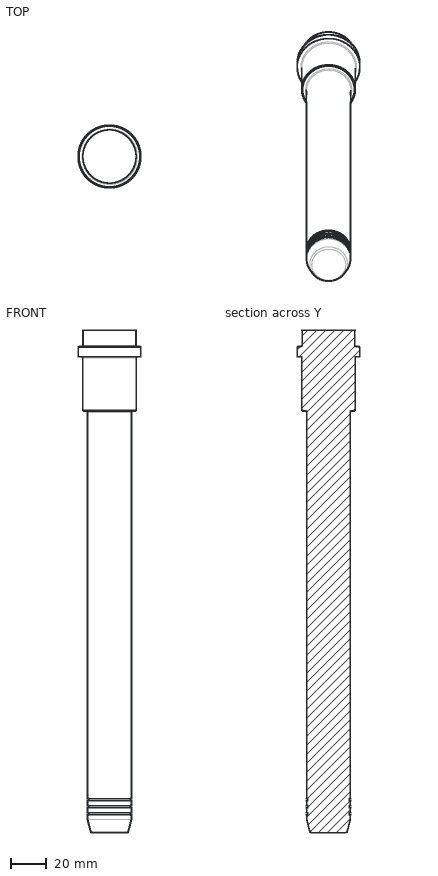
import cadquery as cq
import math

total_length = 280.0
collar_radius = 35.0 / 2
head_radius = 30.0 / 2
cap_radius = 29.7 / 2
shaft_radius = 24.5 / 2

head_length = 45.0
head_bottom = total_length - head_length
collar_top = total_length - 9.0
collar_height = 6.0
collar_bottom = collar_top - collar_height
edge_chamfer = 0.5
root_fillet = 0.5

tip_radius = 10.5
taper_length = 7.5
tip_fillet = 1.0

groove_count = 3
first_groove_height = 10.5
groove_spacing = 4.0
groove_width = 1.0
groove_depth = 0.5


def cylinder(radius, bottom, top):
    """Solid cylinder about the Z axis between two heights."""
    return cq.Workplane("XY").workplane(offset=bottom).circle(radius).extrude(top - bottom)


def make_shaft():
    """Revolved shaft with its tapered, rounded tip."""
    profile = (
        cq.Workplane("XZ")
        .moveTo(0, 0)
        .lineTo(tip_radius, 0)
        .lineTo(shaft_radius, taper_length)
        .lineTo(shaft_radius, head_bottom)
        .lineTo(0, head_bottom)
        .close()
    )
    shaft = profile.revolve(360, (0, 0, 0), (0, 1, 0))
    return shaft.faces("<Z").edges().fillet(tip_fillet)


def make_groove(center_height):
    """Ring of material removed from the shaft surface."""
    bottom = center_height - groove_width / 2
    top = center_height + groove_width / 2
    return cylinder(collar_radius, bottom, top).cut(cylinder(shaft_radius - groove_depth, bottom, top))


def make_root_fillet(radius, height, direction):
    """Concave ring easing a cylinder into a flat face; direction is +1 above the face, -1 below."""
    arc_reach = root_fillet * (1 - math.sqrt(0.5))
    profile = (
        cq.Workplane("XZ")
        .moveTo(0, height)
        .lineTo(radius + root_fillet, height)
        .threePointArc(
            (radius + arc_reach, height + direction * arc_reach),
            (radius, height + direction * root_fillet),
        )
        .lineTo(0, height + direction * root_fillet)
        .close()
    )
    return profile.revolve(360, (0, 0, 0), (0, 1, 0))


cap = cylinder(cap_radius, collar_bottom, total_length)
head = cylinder(head_radius, head_bottom, collar_top).faces("<Z").edges().chamfer(edge_chamfer)
collar = cylinder(collar_radius, collar_bottom, collar_top).faces(">Z").edges().chamfer(edge_chamfer)

result = make_shaft().union(head).union(cap).union(collar)
result = result.union(make_root_fillet(cap_radius, collar_top, 1))
result = result.union(make_root_fillet(head_radius, collar_bottom, -1))
result = result.union(make_root_fillet(shaft_radius, head_bottom, -1))
for groove_index in range(groove_count):
    result = result.cut(make_groove(first_groove_height + groove_index * groove_spacing))